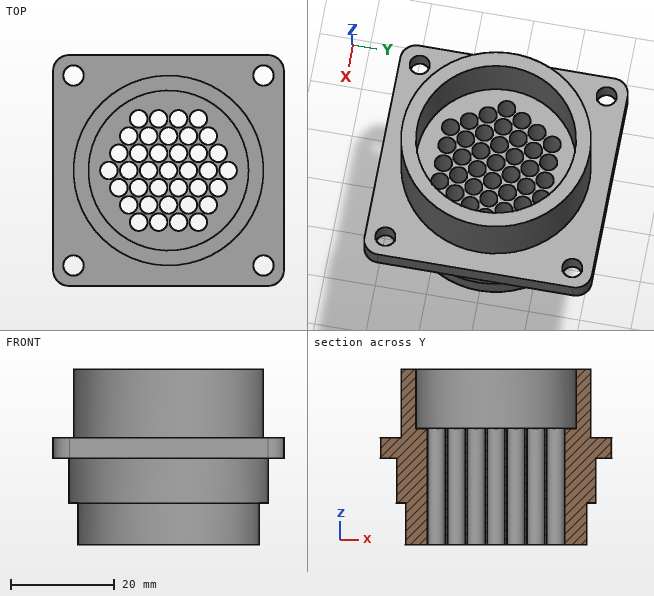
import cadquery as cq
import math

flange_side = 44.45
flange_thickness = 4.0
flange_corner_radius = 3.1
mount_hole_spacing = 36.55
mount_hole_diameter = 3.85

tail_diameter = 34.95
tail_height = 8.0
shoulder_diameter = 38.4
shoulder_height = 8.62
collar_diameter = 36.55
collar_height = 13.15

socket_diameter = 30.8
socket_depth = 11.4

contact_diameter = 3.35
contact_pitch = 3.82
contact_rings = 3

shoulder_base = tail_height
flange_base = shoulder_base + shoulder_height
collar_base = flange_base + flange_thickness
top = collar_base + collar_height


def cylinder(diameter, height, base):
    """Upright cylinder on the Z axis, standing at height base."""
    return cq.Workplane("XY", origin=(0, 0, base)).circle(diameter / 2).extrude(height)


def make_flange():
    """Square plate with rounded corners and a mounting hole in each corner."""
    plate = (
        cq.Workplane("XY", origin=(0, 0, flange_base))
        .rect(flange_side, flange_side)
        .extrude(flange_thickness)
        .edges("|Z")
        .fillet(flange_corner_radius)
    )
    holes = (
        cq.Workplane("XY", origin=(0, 0, flange_base))
        .rect(mount_hole_spacing, mount_hole_spacing, forConstruction=True)
        .vertices()
        .circle(mount_hole_diameter / 2)
        .extrude(flange_thickness)
    )
    return plate.cut(holes)


def contact_centers():
    """Hexagonal grid: the widest row lies on the X axis and each row outward has one hole fewer."""
    row_pitch = contact_pitch * math.sqrt(3) / 2
    centers = []
    for row in range(-contact_rings, contact_rings + 1):
        count = 2 * contact_rings + 1 - abs(row)
        first_x = -contact_pitch * (count - 1) / 2
        for column in range(count):
            centers.append((first_x + column * contact_pitch, row * row_pitch))
    return centers


tail = cylinder(tail_diameter, tail_height, 0)
shoulder = cylinder(shoulder_diameter, shoulder_height, shoulder_base)
collar = cylinder(collar_diameter, collar_height, collar_base)
socket = cylinder(socket_diameter, socket_depth, top - socket_depth)

contact_holes = (
    cq.Workplane("XY")
    .pushPoints(contact_centers())
    .circle(contact_diameter / 2)
    .extrude(top)
)

body = tail.union(shoulder).union(make_flange()).union(collar)
result = body.cut(socket).cut(contact_holes)